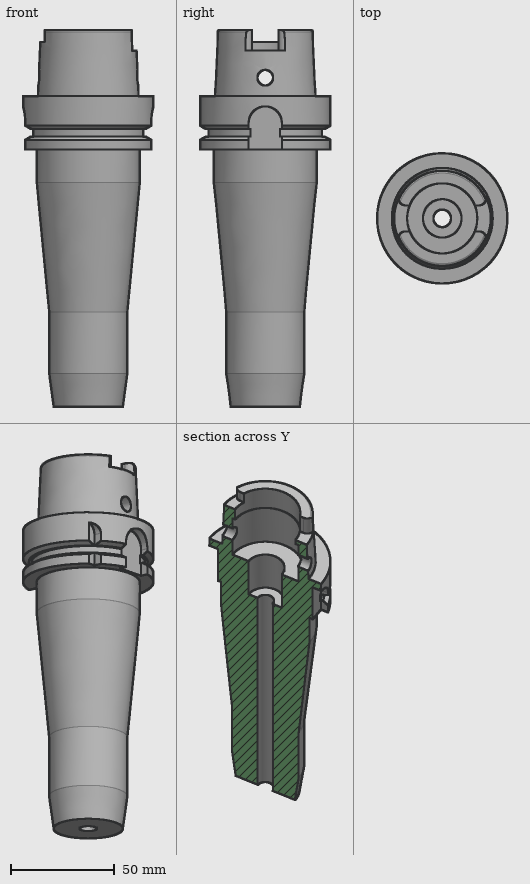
import cadquery as cq

total_height = 182.0
flange_top = 150.0
flange_bottom = 124.1
groove_top = 134.1
groove_bottom = 130.5
groove_flank_height = 1.6
collar_bottom = 108.3
neck_top = 45.9
tip_top = 16.2

flange_radius = 31.5
groove_radius = 27.5
groove_flank_inner_radius = 28.8
collar_radius = 25.0
neck_radius = 19.0
tip_radius = 16.7
shank_base_radius = 24.4
shank_top_radius = 23.0
shank_edge_fillet = 1.1

mouth_radius = 17.0
mouth_depth = 12.7
undercut_radius = 18.4
undercut_floor = 145.6
socket_radius = 9.3
socket_depth = 21.8
through_radius = 4.2

cross_hole_diameter = 7.5
cross_hole_height = flange_top + 9.0

notch_width = 12.5
notch_corner_radius = 3.3
notch_wall_end = 21.1
shallow_notch_depth = 5.8
deep_notch_depth = 10.0

slot_top = 145.0
drive_slot_radius = 8.0
drive_slot_floor = 26.5
side_slot_radius = 5.5
side_slot_floor = 20.4
side_slot_wall = 19.8
cut_overrun = 1.8


def turned_body():
    """Revolve the outside profile about Z and round the shank rim."""
    profile = [
        (0, 0),
        (tip_radius, 0),
        (neck_radius, tip_top),
        (neck_radius, neck_top),
        (collar_radius, collar_bottom),
        (collar_radius, flange_bottom),
        (flange_radius, flange_bottom),
        (flange_radius, groove_bottom - groove_flank_height),
        (groove_flank_inner_radius, groove_bottom),
        (groove_radius, groove_bottom),
        (groove_radius, groove_top),
        (groove_flank_inner_radius, groove_top),
        (flange_radius, groove_top + groove_flank_height),
        (flange_radius, flange_top),
        (shank_base_radius, flange_top),
        (shank_top_radius, total_height),
        (0, total_height),
    ]
    body = cq.Workplane("XZ").polyline(profile).close().revolve(360, (0, 0), (0, 1))
    return body.faces(">Z").edges().fillet(shank_edge_fillet)


def stepped_bore():
    """Solid to remove: mouth, undercut chamber, socket and through hole."""
    mouth_bottom = total_height - mouth_depth
    socket_floor = undercut_floor - socket_depth
    profile = [
        (0, 0),
        (through_radius, 0),
        (through_radius, socket_floor),
        (socket_radius, socket_floor),
        (socket_radius, undercut_floor),
        (undercut_radius, undercut_floor),
        (undercut_radius, mouth_bottom),
        (mouth_radius, mouth_bottom),
        (mouth_radius, total_height),
        (0, total_height),
    ]
    return cq.Workplane("XZ").polyline(profile).close().revolve(360, (0, 0), (0, 1))


def cross_hole():
    """Hole along X through both walls of the shank."""
    hole = cq.Workplane("YZ").circle(cross_hole_diameter / 2).extrude(flange_radius, both=True)
    return hole.translate((0, 0, cross_hole_height))


def rim_notch(side, depth):
    """Rim notch towards side * X whose walls flare outwards through round corners."""
    half_width = notch_width / 2
    flared_half_width = half_width + notch_corner_radius
    flare_start = notch_wall_end - notch_corner_radius
    outer_end = side * flange_radius
    return (
        cq.Workplane("XY", origin=(0, 0, total_height - depth))
        .moveTo(0, -half_width)
        .lineTo(side * flare_start, -half_width)
        .radiusArc((side * notch_wall_end, -flared_half_width), side * notch_corner_radius)
        .lineTo(outer_end, -flared_half_width)
        .lineTo(outer_end, flared_half_width)
        .lineTo(side * notch_wall_end, flared_half_width)
        .radiusArc((side * flare_start, half_width), side * notch_corner_radius)
        .lineTo(0, half_width)
        .close()
        .extrude(depth)
    )


def flange_slot(side, floor, center_y, radius):
    """Round-topped slot, open at the flange bottom, with a flat floor facing side * X."""
    arch_center = slot_top - radius
    return (
        cq.Workplane("YZ", origin=(side * floor, center_y, 0))
        .moveTo(-radius, flange_bottom)
        .lineTo(-radius, arch_center)
        .threePointArc((0, slot_top), (radius, arch_center))
        .lineTo(radius, flange_bottom)
        .close()
        .extrude(side * (flange_radius - floor + cut_overrun))
    )


result = turned_body().cut(stepped_bore()).cut(cross_hole())
for side, depth in ((-1, shallow_notch_depth), (1, deep_notch_depth)):
    result = result.cut(rim_notch(side, depth))
    result = result.cut(flange_slot(side, drive_slot_floor, 0, drive_slot_radius))

side_slot_center = side_slot_wall + side_slot_radius
result = result.cut(flange_slot(-1, side_slot_floor, side_slot_center, side_slot_radius))